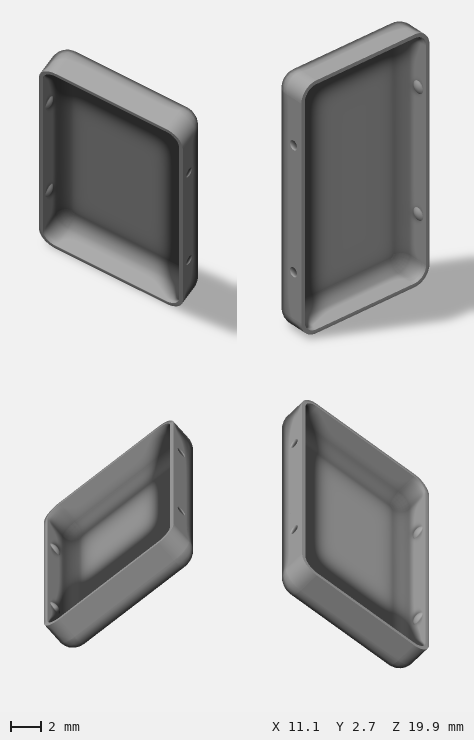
import cadquery as cq
import math

width = 11.1
depth = 2.7
height = 19.9
wall = 0.3
corner_radius = 1.3
back_edge_radius = 1.1

dimple_spacing = 9.99
dimple_from_rim = 0.8
dome_radius = 0.75
hollow_radius = dome_radius - wall
dimple_center_offset = 0.28


def rounded_block(inset):
    """Solid block inset from the outer skin, rounded at its corners and back edge."""
    return (
        cq.Workplane("XY")
        .box(width - 2 * inset, depth - inset, height - 2 * inset, centered=(True, False, True))
        .edges("|Y")
        .fillet(corner_radius - inset)
        .faces(">Y")
        .edges()
        .fillet(back_edge_radius - inset)
    )


def sphere_segment(radius, start):
    """Ball segment about the X axis, centered at the origin, from x = start to its +X pole."""
    rim_radius = math.sqrt(radius**2 - start**2)
    middle_angle = math.atan2(rim_radius, start) / 2
    middle = (radius * math.cos(middle_angle), radius * math.sin(middle_angle))
    return (
        cq.Workplane("XY")
        .moveTo(start, 0)
        .lineTo(start, rim_radius)
        .threePointArc(middle, (radius, 0))
        .close()
        .revolve(360, (0, 0, 0), (1, 0, 0))
    )


def place_dimple(segment, side, z):
    """Move a segment to one side wall (-1 or +1), pole pointing into the tray."""
    center_x = -(width / 2 + dimple_center_offset)
    placed = segment.translate((center_x, dimple_from_rim, z))
    return placed if side < 0 else placed.mirror("YZ")


result = rounded_block(0).cut(rounded_block(wall))

dome = sphere_segment(dome_radius, dimple_center_offset + wall / 2)
hollow = sphere_segment(hollow_radius, 0)

for side in (-1, 1):
    for z in (-dimple_spacing / 2, dimple_spacing / 2):
        result = result.union(place_dimple(dome, side, z))
        result = result.cut(place_dimple(hollow, side, z))